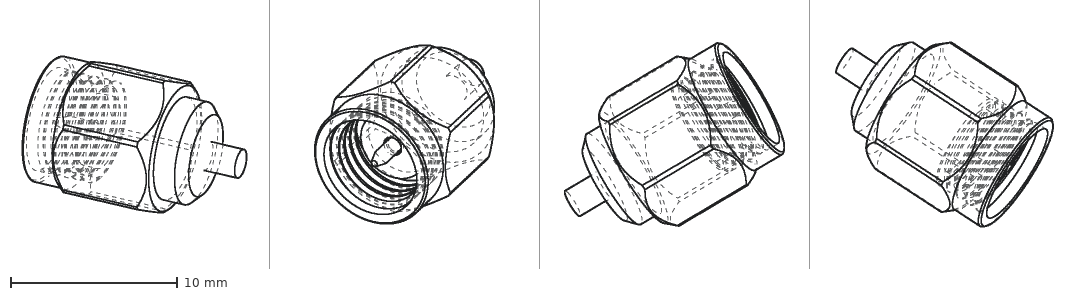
import cadquery as cq
import math

total_length = 12.7
nut_start = 2.03
nut_end = 8.38
body_chamfer_start = 9.77
body_end = 10.41

collar_diameter = 7.76
collar_chamfer = 0.13
hex_across_flats = 7.94
hex_corner_diameter = 8.99
hex_chamfer_length = 0.74

body_diameter = 6.35
body_chamfer = body_end - body_chamfer_start
cable_diameter = 1.78
cable_fillet = 0.13

bore_diameter = 6.35
bore_depth = 0.75
lead_in_length = 0.38
thread_minor_diameter = 5.59
thread_root_diameter = 6.32
thread_pitch = 0.71
thread_start_angle = 150.0
thread_turns = 6.0
thread_start = 0.23
groove_root_width = thread_pitch / 8
groove_mouth_width = 3 * thread_pitch / 4
socket_depth = 3.78

insulator_diameter = 4.45
insulator_front = 2.8
insulator_fillet = 0.13
pin_clearance_diameter = 1.2
pin_clearance_depth = 0.25
pin_diameter = 0.94
pin_tip_diameter = 0.41
pin_tip_position = 0.48
pin_taper_end = 1.37


def cylinder(diameter, start, end):
    """Solid cylinder on the X axis between two axial stations."""
    return cq.Workplane("YZ", origin=(start, 0, 0)).circle(diameter / 2).extrude(end - start)


def revolve_profile(points):
    """Revolve (axial station, radius) points around the X axis."""
    return cq.Workplane("XY").polyline(points).close().revolve(360, (0, 0, 0), (1, 0, 0))


def make_hex_nut():
    """Hexagon with a corner on Z, turned down at its corners and both ends."""
    across_corners = hex_across_flats / math.cos(math.radians(30))
    hexagon = (
        cq.Workplane("YZ", origin=(nut_start, 0, 0))
        .transformed(rotate=(0, 0, 90))
        .polygon(6, across_corners)
        .extrude(nut_end - nut_start)
    )
    end_radius = collar_diameter / 2
    corner_radius = hex_corner_diameter / 2
    envelope = revolve_profile([
        (nut_start, 0),
        (nut_start, end_radius),
        (nut_start + hex_chamfer_length, corner_radius),
        (nut_end - hex_chamfer_length, corner_radius),
        (nut_end, end_radius),
        (nut_end, 0),
    ])
    return hexagon.intersect(envelope)


def make_rear_body():
    """Chamfered body with the cable leaving it through a small fillet."""
    body = cylinder(body_diameter, nut_end, body_end).faces(">X").chamfer(body_chamfer)
    cable_radius = cable_diameter / 2
    arc_offset = cable_fillet * (1 - math.sin(math.radians(45)))
    cable = (
        cq.Workplane("XY")
        .moveTo(body_end, 0)
        .lineTo(body_end, cable_radius + cable_fillet)
        .threePointArc(
            (body_end + arc_offset, cable_radius + arc_offset),
            (body_end + cable_fillet, cable_radius),
        )
        .lineTo(total_length, cable_radius)
        .lineTo(total_length, 0)
        .close()
        .revolve(360, (0, 0, 0), (1, 0, 0))
    )
    return body.union(cable)


def make_socket():
    """Plain bore and conical lead-in ahead of the thread's minor bore."""
    bore_radius = bore_diameter / 2
    minor_radius = thread_minor_diameter / 2
    return revolve_profile([
        (0, 0),
        (0, bore_radius),
        (bore_depth, bore_radius),
        (bore_depth + lead_in_length, minor_radius),
        (socket_depth, minor_radius),
        (socket_depth, 0),
    ])


def make_thread_groove():
    """Right-hand helical cutter, overlapping the socket so that it cuts cleanly."""
    overlap = 0.04
    minor_radius = thread_minor_diameter / 2
    root_radius = thread_root_diameter / 2
    flank_slope = (groove_mouth_width - groove_root_width) / 2 / (root_radius - minor_radius)
    half_mouth = groove_mouth_width / 2 + overlap * flank_slope
    half_root = groove_root_width / 2
    helix = cq.Wire.makeHelix(thread_pitch, thread_turns * thread_pitch, minor_radius)
    groove = (
        cq.Workplane("XZ")
        .polyline([
            (minor_radius - overlap, -half_mouth),
            (root_radius, -half_root),
            (root_radius, half_root),
            (minor_radius - overlap, half_mouth),
        ])
        .close()
        .sweep(cq.Workplane(obj=helix), isFrenet=True)
    )
    placed_groove = (
        groove.rotate((0, 0, 0), (0, 1, 0), 90)
        .rotate((0, 0, 0), (1, 0, 0), thread_start_angle)
        .translate((thread_start, 0, 0))
    )
    return placed_groove.intersect(cylinder(collar_diameter, bore_depth, socket_depth))


def make_insulator():
    """Rounded insulator with a shallow clearance recess around the pin."""
    insulator = cylinder(insulator_diameter, insulator_front, socket_depth)
    insulator = insulator.faces("<X").edges().fillet(insulator_fillet)
    recess_floor = insulator_front + pin_clearance_depth
    return insulator.cut(cylinder(pin_clearance_diameter, insulator_front, recess_floor))


def make_pin():
    """Centre pin with a blunt conical tip."""
    return revolve_profile([
        (pin_tip_position, 0),
        (pin_tip_position, pin_tip_diameter / 2),
        (pin_taper_end, pin_diameter / 2),
        (socket_depth, pin_diameter / 2),
        (socket_depth, 0),
    ])


collar = cylinder(collar_diameter, 0, nut_start).faces("<X").chamfer(collar_chamfer)
shell = collar.union(make_hex_nut()).union(make_rear_body())
threaded_shell = shell.cut(make_socket()).cut(make_thread_groove())
result = threaded_shell.union(make_insulator()).union(make_pin())